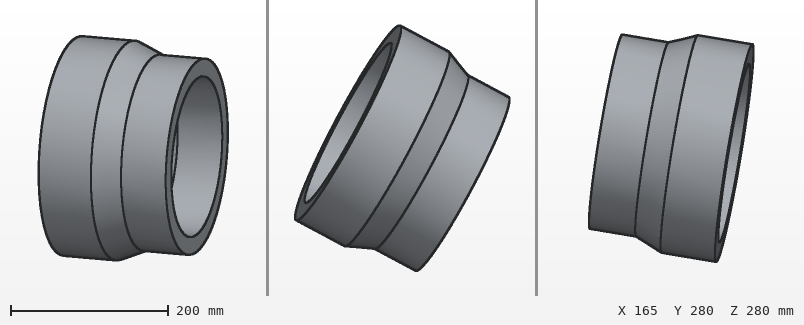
import cadquery as cq

total_length = 165.0
wide_length = 70.0
taper_length = 35.3

wide_outer_diameter = 280.0
wide_bore_diameter = 229.3
narrow_outer_diameter = 250.0
narrow_bore_diameter = 204.7

taper_end = wide_length + taper_length


def stepped_cone(wide_diameter, narrow_diameter):
    """Solid of revolution: wide cylinder, taper, then narrow cylinder."""
    wide_radius = wide_diameter / 2
    narrow_radius = narrow_diameter / 2
    return (
        cq.Workplane("XY")
        .moveTo(0, 0)
        .lineTo(0, wide_radius)
        .lineTo(wide_length, wide_radius)
        .lineTo(taper_end, narrow_radius)
        .lineTo(total_length, narrow_radius)
        .lineTo(total_length, 0)
        .close()
        .revolve(360, (0, 0, 0), (1, 0, 0))
    )


body = stepped_cone(wide_outer_diameter, narrow_outer_diameter)
bore = stepped_cone(wide_bore_diameter, narrow_bore_diameter)

result = body.cut(bore)